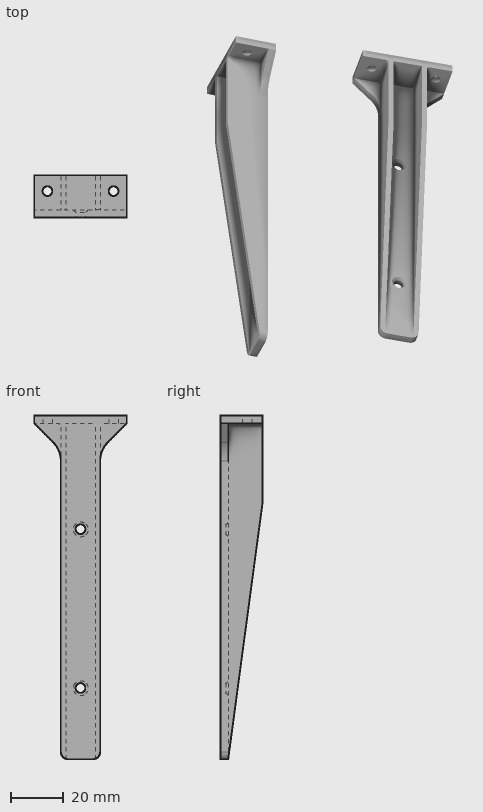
import cadquery as cq

height = 130.0
flange_width = 35.0
depth = 16.0

wall = 3.0
side_wall = 2.0
upright_width = 15.0
taper_top = 97.0
bottom_corner_radius = 3.0
flange_root_radius = 1.0
flare_radius = 10.0

hole_diameter = 3.6
countersink_depth = 1.0
flange_hole_spacing = 25.0
flange_hole_y = 10.0
lower_plate_hole_z = 27.0
plate_hole_spacing = 60.0

flange_bottom = height - wall
half_upright = upright_width / 2
half_flange = flange_width / 2
flare_bottom = flange_bottom - (half_flange - half_upright)


def make_upright():
    """Solid upright whose back slopes down to the thickness of the front plate."""
    side_profile = [
        (0, 0),
        (wall, 0),
        (depth, taper_top),
        (depth, flange_bottom),
        (0, flange_bottom),
    ]
    upright = (
        cq.Workplane("YZ")
        .polyline(side_profile)
        .close()
        .extrude(half_upright, both=True)
    )
    return upright.edges("|Y and <Z").fillet(bottom_corner_radius)


def make_channel():
    """Cutter for the open channel behind the front plate, between the side walls."""
    return (
        cq.Workplane("XY", origin=(0, wall, 0))
        .box(upright_width - 2 * side_wall, depth, flange_bottom, centered=(True, False, False))
    )


def make_flange():
    """Horizontal mounting flange across the top."""
    return (
        cq.Workplane("XY", origin=(0, depth / 2, flange_bottom))
        .rect(flange_width, depth)
        .extrude(wall)
    )


def add_flange_root_fillets(body):
    """Round the corners where the upright sides meet the underside of the flange."""
    for side in (-1, 1):
        corner = (side * half_upright, depth / 2, flange_bottom)
        body = body.edges(cq.selectors.NearestToPointSelector(corner)).fillet(flange_root_radius)
    return body


def make_flare(side):
    """Plate-thick triangular web on one side, blended into the upright by an arc."""
    web = (
        cq.Workplane("XZ")
        .moveTo(0, height)
        .lineTo(side * half_flange, height)
        .lineTo(side * half_flange, flange_bottom)
        .lineTo(side * half_upright, flare_bottom)
        .lineTo(side * half_upright, bottom_corner_radius)
        .lineTo(0, bottom_corner_radius)
        .close()
        .extrude(-wall)
    )
    blend_edge = cq.selectors.NearestToPointSelector((side * half_upright, wall / 2, flare_bottom))
    return web.edges(blend_edge).fillet(flare_radius)


def make_plate_hole(height_above_base):
    """Cutter for one hole through the front plate, countersunk from the back."""
    hole_radius = hole_diameter / 2
    outer_radius = hole_radius + countersink_depth
    half_section = [
        (0, 0),
        (hole_radius, 0),
        (hole_radius, wall - countersink_depth),
        (outer_radius, wall),
        (0, wall),
    ]
    return (
        cq.Workplane("XY", origin=(0, 0, height_above_base))
        .polyline(half_section)
        .close()
        .revolve(360, (0, 0, 0), (0, 1, 0))
    )


def make_flange_holes():
    """Cutters for the two vertical holes through the flange."""
    centres = [(side * flange_hole_spacing / 2, flange_hole_y) for side in (-1, 1)]
    return (
        cq.Workplane("XY", origin=(0, 0, flange_bottom))
        .pushPoints(centres)
        .circle(hole_diameter / 2)
        .extrude(wall)
    )


body = add_flange_root_fillets(make_upright().union(make_flange()))
for side in (-1, 1):
    body = body.union(make_flare(side))

body = body.cut(make_channel()).cut(make_flange_holes())
for row in range(2):
    body = body.cut(make_plate_hole(lower_plate_hole_z + row * plate_hole_spacing))

result = body.clean()